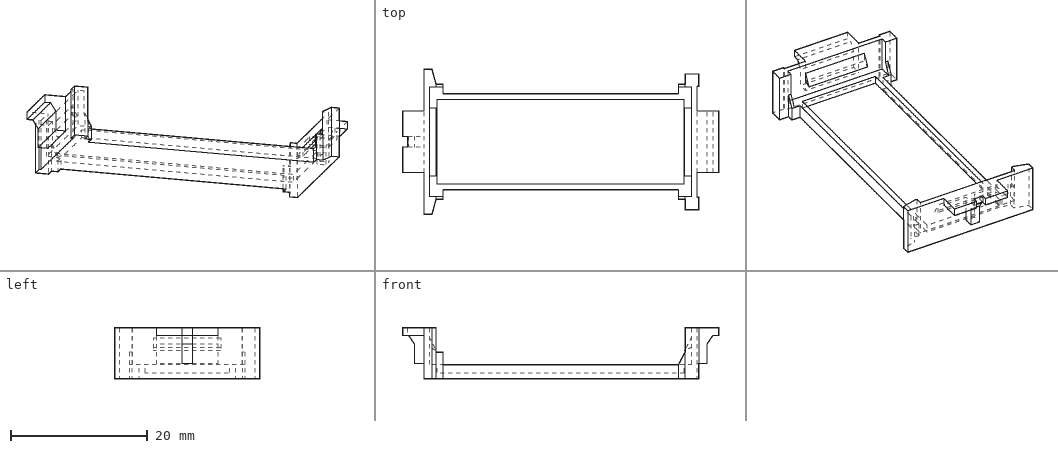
import cadquery as cq

length = 46.2
height = 7.5

rim_height = 2.1
rim_half_width = 7.0
pocket_half_width = 6.2
pocket_start = 5.05
pocket_end = 41.05
floor_thickness = 0.9

seat_half_width = 8.4
recess_half_width = 8.0
seat_start = 5.9
seat_end = 40.3
seat_side_height = 3.95

left_wall_outer = 3.1
left_wall_inner = 3.95
left_wall_half_width = 10.605
left_tip_x = 4.3
left_flange_x = 4.9

right_wall_inner = 42.2
right_wall_outer = 43.0
right_ear_inner = 41.25
right_ear_outer = 43.3
right_ear_half_width = 9.95
right_web_half_width = 8.1

tab_half_width = 4.505
tab_thickness = 1.15
notch_depth = 0.75
rib_width = 1.5
rib_bottom = 2.2
rib_knee_height = 5.1
rib_top_setback = 0.9
rib_knee_setback = 1.7

catch_length = 9.95
catch_reach = 0.95
catch_top = 6.0
catch_tip = 4.15
catch_root = 4.6


def block(x_min, x_max, half_width, z_min, z_max):
    """Box symmetric about the XZ plane."""
    return (
        cq.Workplane("XY")
        .box(x_max - x_min, 2 * half_width, z_max - z_min, centered=(False, True, False))
        .translate((x_min, 0, z_min))
    )


def side_profile(points, width):
    """XZ outline extruded to a width centred on the XZ plane."""
    return cq.Workplane("XZ").polyline(points).close().extrude(width / 2, both=True)


def mirrored_end(solid):
    """Copy of a left-end solid at the opposite end."""
    return solid.mirror("YZ").translate((length, 0, 0))


def make_left_wall():
    half_outline = [
        (left_wall_outer, left_wall_half_width),
        (left_tip_x, left_wall_half_width),
        (left_flange_x, seat_half_width),
    ]
    other_half = [(x, -y) for x, y in reversed(half_outline)]
    wall = cq.Workplane("XY").polyline(half_outline + other_half).close().extrude(height)
    seat = block(left_wall_inner, seat_start, seat_half_width, 0, seat_side_height)
    recess = block(left_wall_inner, seat_start, recess_half_width, rim_height, height)
    return wall.union(seat).cut(recess)


def make_right_wall():
    wall = block(right_ear_inner, right_ear_outer, right_ear_half_width, 0, height)
    web_relief = block(right_wall_outer, right_ear_outer, right_web_half_width, 0, height)
    seat_outline = [
        (seat_end, 0),
        (right_wall_inner, 0),
        (right_wall_inner, seat_side_height),
        (right_ear_inner, seat_side_height),
        (seat_end, rim_height),
    ]
    seat = side_profile(seat_outline, 2 * seat_half_width)
    recess = block(seat_end, right_wall_inner, recess_half_width, rim_height, height)
    return wall.cut(web_relief).union(seat).cut(recess)


def make_tab():
    return block(0, left_wall_inner, tab_half_width, height - tab_thickness, height)


def make_rib(width):
    outline = [
        (left_wall_inner, height - tab_thickness),
        (rib_top_setback, height - tab_thickness),
        (rib_knee_setback, rib_knee_height),
        (rib_knee_setback, rib_bottom),
        (left_wall_inner, rib_bottom),
    ]
    return side_profile(outline, width)


def make_catch(wall_face, direction):
    tip_x = wall_face + direction * catch_reach
    outline = [(wall_face, catch_top), (tip_x, catch_tip), (wall_face, catch_root)]
    return side_profile(outline, catch_length)


tray = block(left_wall_inner, right_wall_inner, rim_half_width, 0, rim_height)
body = tray.union(make_left_wall()).union(make_right_wall())

left_tab = make_tab().union(make_rib(rib_width))
right_tab = mirrored_end(make_tab().union(make_rib(2 * tab_half_width)))
tab_notch = block(0, notch_depth, rib_width / 2, height - tab_thickness, height)
body = body.union(left_tab.cut(tab_notch)).union(right_tab)

body = body.union(make_catch(left_wall_inner, 1)).union(make_catch(right_wall_inner, -1))

result = body.cut(block(pocket_start, pocket_end, pocket_half_width, floor_thickness, rim_height))